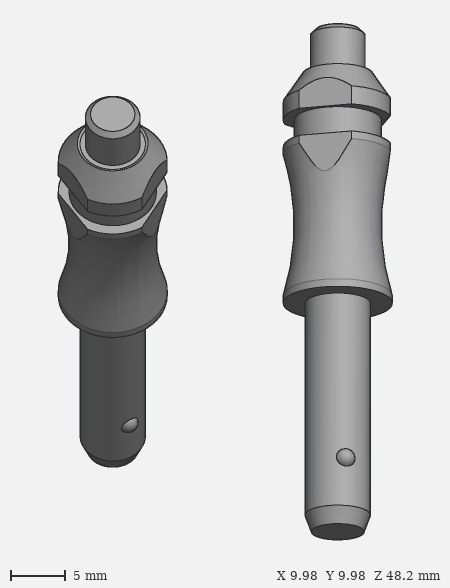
import cadquery as cq
import math

total_height = 48.2
tip_height = 1.6
ball_height = 6.2
handle_bottom = 22.0
rim_height = 0.7
handle_top = 36.95
collar_bottom = 39.55
collar_edge_top = 41.3
collar_recess_floor = 43.85
collar_top = 43.95
stud_chamfer = 0.5

pin_radius = 3.0
tip_radius = 2.4
handle_radius = 4.99
waist_radius = 4.0
collar_top_radius = 3.25
collar_recess_radius = 3.0
stud_radius = 2.5

ball_radius = 0.9
ball_reach = 3.5

flat_count = 3
flat_pitch = 360 / flat_count
flat_chord_angle = 60
flat_distance = handle_radius * math.cos(math.radians(flat_chord_angle / 2))
first_flat_angle = -90


def make_body():
    """Revolve the pin, waisted handle, collar and stud as one profile."""
    curve_bottom = handle_bottom + rim_height
    curve_top = handle_top - rim_height
    waist_height = (curve_bottom + curve_top) / 2
    half_height = (curve_top - curve_bottom) / 2
    waist_depth = handle_radius - waist_radius
    curve_radius = (half_height**2 + waist_depth**2) / (2 * waist_depth)
    profile = (
        cq.Workplane("XZ")
        .lineTo(tip_radius, 0)
        .lineTo(pin_radius, tip_height)
        .lineTo(pin_radius, handle_bottom)
        .lineTo(handle_radius, handle_bottom)
        .lineTo(handle_radius, curve_bottom)
        .radiusArc((waist_radius, waist_height), curve_radius)
        .radiusArc((handle_radius, curve_top), curve_radius)
        .lineTo(handle_radius, handle_top)
        .lineTo(waist_radius, handle_top)
        .lineTo(waist_radius, collar_bottom)
        .lineTo(handle_radius, collar_bottom)
        .lineTo(handle_radius, collar_edge_top)
        .lineTo(collar_top_radius, collar_top)
        .lineTo(collar_recess_radius, collar_recess_floor)
        .lineTo(stud_radius, collar_recess_floor)
        .lineTo(stud_radius, total_height - stud_chamfer)
        .lineTo(stud_radius - stud_chamfer, total_height)
        .lineTo(0, total_height)
        .close()
    )
    return profile.revolve(360, (0, 0), (0, 1))


def make_flat_cutter(angle):
    """Block outside one flat, reaching from the handle's waist to the collar top."""
    cutter_bottom = (handle_bottom + handle_top) / 2
    block = cq.Workplane("XY").box(
        handle_radius,
        2 * handle_radius,
        collar_top - cutter_bottom,
        centered=(False, True, False),
    )
    placed = block.translate((flat_distance, 0, cutter_bottom))
    return placed.rotate((0, 0, 0), (0, 0, 1), angle)


def make_ball(side):
    """Locking ball protruding from the pin on the given X side."""
    center_x = side * (ball_reach - ball_radius)
    return cq.Workplane("XY").sphere(ball_radius).translate((center_x, 0, ball_height))


result = make_body()
for index in range(flat_count):
    result = result.cut(make_flat_cutter(first_flat_angle + index * flat_pitch))
for side in (-1, 1):
    result = result.union(make_ball(side))